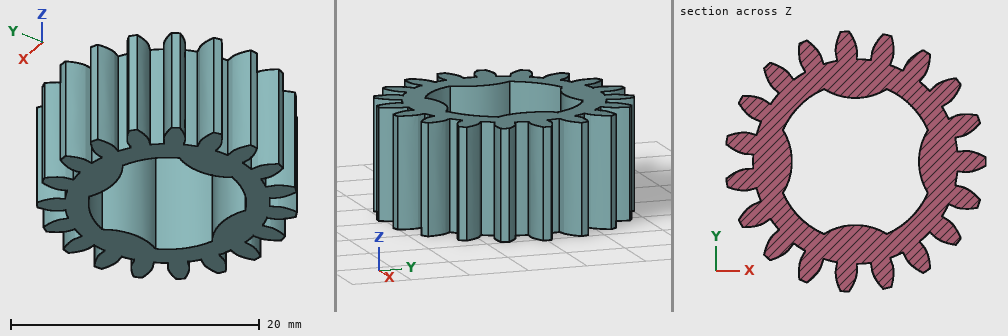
import cadquery as cq
import math

tooth_count = 19
gear_module = 1.0
pressure_angle = math.radians(20)
addendum = gear_module
dedendum = 1.25 * gear_module
face_width = 9.38

bore_radius = 6.35
lobe_count = 4
lobe_radius = 4.76
lobe_inner_reach = 5.1

pitch_radius = tooth_count * gear_module / 2
tip_radius = pitch_radius + addendum
root_radius = pitch_radius - dedendum
base_radius = pitch_radius * math.cos(pressure_angle)
tooth_pitch = 2 * math.pi / tooth_count
flank_point_count = 7


def involute_angle(radius):
    """Angle swept by the involute between the base circle and the given radius."""
    pressure = math.acos(base_radius / radius)
    return math.tan(pressure) - pressure


def tooth_half_angle(radius):
    """Half the angle a tooth spans at the given radius; radial below the base circle."""
    involute_radius = max(radius, base_radius)
    return tooth_pitch / 4 + involute_angle(pitch_radius) - involute_angle(involute_radius)


def polar(radius, angle):
    return (radius * math.cos(angle), radius * math.sin(angle))


def flank_points(tooth_angle, side):
    """Points of one involute flank, from the base circle out to the tip circle."""
    step = (tip_radius - base_radius) / (flank_point_count - 1)
    radii = [base_radius + i * step for i in range(flank_point_count)]
    return [polar(r, tooth_angle + side * tooth_half_angle(r)) for r in radii]


def make_gear_blank():
    """Solid gear with a tooth centred on +X."""
    root_half_angle = tooth_half_angle(root_radius)
    outline = cq.Workplane("XY").moveTo(*polar(root_radius, -root_half_angle))
    for i in range(tooth_count):
        tooth_angle = i * tooth_pitch
        rising = flank_points(tooth_angle, -1)
        falling = flank_points(tooth_angle, 1)[::-1]
        tooth_end = polar(root_radius, tooth_angle + root_half_angle)
        gap_middle = polar(root_radius, tooth_angle + tooth_pitch / 2)
        next_tooth = polar(root_radius, tooth_angle + tooth_pitch - root_half_angle)

        outline = outline.lineTo(*rising[0]).spline(rising[1:], includeCurrent=True)
        outline = outline.threePointArc(polar(tip_radius, tooth_angle), falling[0])
        outline = outline.spline(falling[1:], includeCurrent=True).lineTo(*tooth_end)
        outline = outline.threePointArc(gap_middle, next_tooth)
    return outline.close().extrude(face_width)


def make_bore():
    """Round through bore with rounded lobes left standing inward on the X and Y axes."""
    lobe_centre_radius = lobe_inner_reach + lobe_radius
    bore = cq.Workplane("XY").circle(bore_radius).extrude(face_width)
    lobes = (
        cq.Workplane("XY")
        .polarArray(lobe_centre_radius, 0, 360, lobe_count)
        .circle(lobe_radius)
        .extrude(face_width)
    )
    return bore.cut(lobes)


result = make_gear_blank().cut(make_bore())